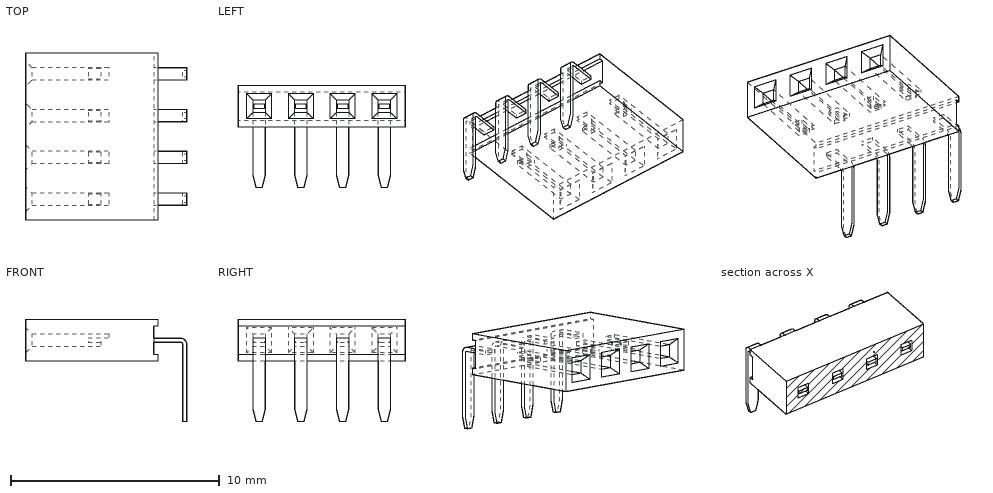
import cadquery as cq

PITCH = 2.0
PIN_COUNT = 4
BODY_LENGTH = 6.34
BODY_HEIGHT = 2.0
BODY_WIDTH = PITCH * PIN_COUNT

CHANNEL_DEPTH = 0.2
CHANNEL_LIP = 0.32

FUNNEL_MOUTH = 1.2
FUNNEL_DEPTH = 0.3
BORE_SIZE = 0.6
BORE_END = 4.0
LEDGE_LENGTH = 0.4

PIN_WIDTH = 0.6
PIN_THICKNESS = 0.2
PIN_OUTER_X = 7.72
PIN_BOTTOM_Z = -3.9
BEND_OUTER_RADIUS = 0.3
BEND_INNER_RADIUS = BEND_OUTER_RADIUS - PIN_THICKNESS
TAIL_TAPER_LENGTH = 0.6
TAIL_TIP_WIDTH = 0.3

CONTACT_WIDTH = 0.5
CONTACT_LENGTH = 1.0


def make_body():
    """Rectangular housing with a channel across its rear face."""
    housing = cq.Workplane("XY").box(
        BODY_LENGTH, BODY_WIDTH, BODY_HEIGHT, centered=(False, True, True)
    )
    channel = cq.Workplane("XY").box(
        CHANNEL_DEPTH, BODY_WIDTH, BODY_HEIGHT - 2 * CHANNEL_LIP, centered=(False, True, True)
    ).translate((BODY_LENGTH - CHANNEL_DEPTH, 0, 0))
    return housing.cut(channel)


def make_socket():
    """Cutting shape for one socket, entering from the front face at X = 0."""
    funnel = (
        cq.Workplane("YZ")
        .rect(FUNNEL_MOUTH, FUNNEL_MOUTH)
        .workplane(offset=FUNNEL_DEPTH)
        .rect(BORE_SIZE, BORE_SIZE)
        .loft()
    )
    bore = cq.Workplane("YZ", origin=(FUNNEL_DEPTH, 0, 0)).rect(BORE_SIZE, BORE_SIZE).extrude(
        BORE_END - FUNNEL_DEPTH
    )
    ledge_height = (BORE_SIZE + PIN_THICKNESS) / 2
    ledge = cq.Workplane("XY").box(
        LEDGE_LENGTH, BORE_SIZE, ledge_height, centered=(False, True, False)
    ).translate((BORE_END - LEDGE_LENGTH, 0, -BORE_SIZE / 2))
    return funnel.union(bore).cut(ledge)


def make_pin():
    """Right-angle flat pin whose horizontal leg is rooted in the housing."""
    half_thickness = PIN_THICKNESS / 2
    inner_x = PIN_OUTER_X - PIN_THICKNESS
    strip = (
        cq.Workplane("XZ")
        .moveTo(BORE_END, half_thickness)
        .lineTo(PIN_OUTER_X - BEND_OUTER_RADIUS, half_thickness)
        .radiusArc((PIN_OUTER_X, half_thickness - BEND_OUTER_RADIUS), BEND_OUTER_RADIUS)
        .lineTo(PIN_OUTER_X, PIN_BOTTOM_Z)
        .lineTo(inner_x, PIN_BOTTOM_Z)
        .lineTo(inner_x, -half_thickness - BEND_INNER_RADIUS)
        .radiusArc((inner_x - BEND_INNER_RADIUS, -half_thickness), -BEND_INNER_RADIUS)
        .lineTo(BORE_END, -half_thickness)
        .close()
        .extrude(PIN_WIDTH / 2, both=True)
    )
    taper_top_z = PIN_BOTTOM_Z + TAIL_TAPER_LENGTH
    for side in (-1, 1):
        tail_corner = (
            cq.Workplane("YZ", origin=(inner_x, 0, 0))
            .moveTo(side * PIN_WIDTH / 2, taper_top_z)
            .lineTo(side * PIN_WIDTH / 2, PIN_BOTTOM_Z)
            .lineTo(side * TAIL_TIP_WIDTH / 2, PIN_BOTTOM_Z)
            .close()
            .extrude(PIN_THICKNESS)
        )
        strip = strip.cut(tail_corner)
    contact = cq.Workplane("YZ", origin=(BORE_END - CONTACT_LENGTH, 0, 0)).rect(
        CONTACT_WIDTH, PIN_THICKNESS
    ).extrude(CONTACT_LENGTH)
    return strip.union(contact)


result = make_body()
for index in range(PIN_COUNT):
    row_position = (0, (index - (PIN_COUNT - 1) / 2) * PITCH, 0)
    result = result.cut(make_socket().translate(row_position))
    result = result.union(make_pin().translate(row_position))